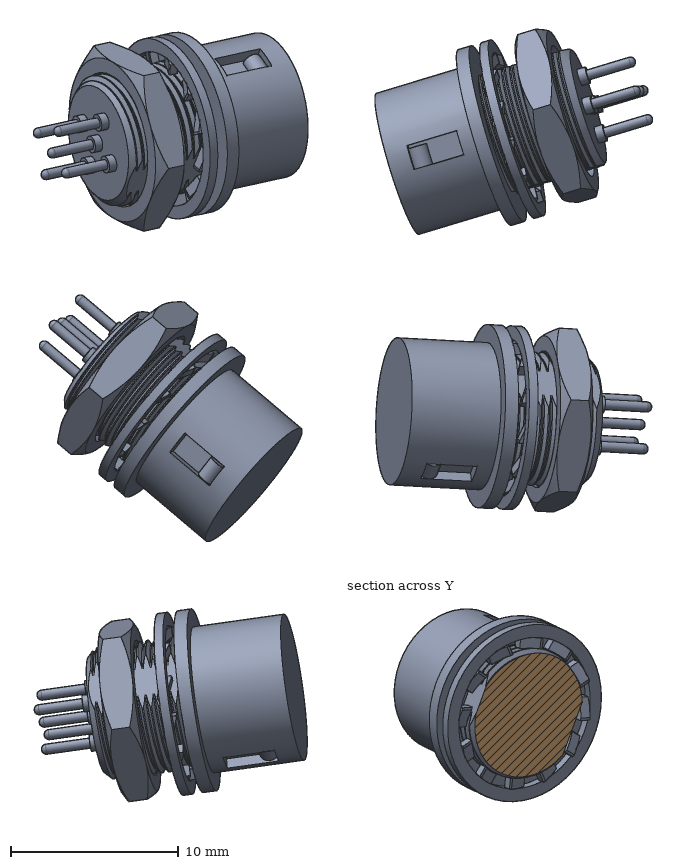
import cadquery as cq
import math


barrel_radius = 4.42
barrel_length = 5.49
flange_radius = 5.5
flange_thickness = 0.8
shank_length = 5.7
housing_back = -flange_thickness - barrel_length

thread_radius = 4.0
thread_root_radius = 3.72
thread_pitch = thread_radius / 8
thread_flat = 0.08
thread_turns = 11
thread_start = -0.03
shank_chamfer = 0.5
flat_distance = 3.61

key_angle = 65.7

slot_width = 1.5
slot_length = 3.13
slot_rear_wall = 1.38
upper_floor_distance = 3.6
lower_floor_distance = 3.74
latch_radius = 0.6
latch_width = 1.3
latch_from_rear = 1.88

pin_radius = 0.31
pin_length = 3.5
pin_collar_radius = 0.51
pin_collar_length = 0.51
pin_circle_radius = 1.8
outer_pin_count = 4

washer_radius = flange_radius
washer_bore_radius = 4.7
washer_thickness = 0.55
washer_start = 0.67
tooth_count = 12
tooth_inner_radius = 4.03
tooth_back = 0.43
tooth_front = 1.4
tooth_width = 1.33
tooth_edge = 0.53
tooth_tip = 0.15
first_tooth_angle = 83.2

nut_across_flats = 10.0
nut_sides = 6
nut_thickness = 1.98
nut_start = 2.73
nut_bore_radius = 4.09
nut_chamfer_angle = 30


def cylinder(radius, start, length):
    return cq.Workplane("XY", origin=(0, 0, start)).circle(radius).extrude(length)


def thread_groove():
    """Helical V groove that starts and ends in the middle of one of the flats."""
    overshoot = 0.08
    half_root = thread_flat / 2
    half_crest = (thread_pitch - thread_flat) / 2
    widening = (half_crest - half_root) / (thread_radius - thread_root_radius)
    half_mouth = half_crest + widening * overshoot
    mouth_radius = thread_radius + overshoot
    helix = cq.Wire.makeHelix(thread_pitch, thread_turns * thread_pitch, thread_root_radius,
                              center=cq.Vector(0, 0, thread_start))
    profile = cq.Workplane("XZ", origin=(0, 0, thread_start)).polyline([
        (thread_root_radius, -half_root),
        (mouth_radius, -half_mouth),
        (mouth_radius, half_mouth),
        (thread_root_radius, half_root),
    ]).close()
    groove = profile.sweep(cq.Workplane(helix), isFrenet=True)
    return groove.rotate((0, 0, 0), (0, 0, 1), key_angle + 90)


def make_shank():
    """Threaded shank with a chamfered end and two flats."""
    threaded = cylinder(thread_radius, 0, shank_length).cut(thread_groove())
    clearance = 0.15
    envelope = (
        cylinder(thread_radius + clearance, 0, shank_length)
        .faces(">Z").chamfer(shank_chamfer + clearance)
    )
    flats = cq.Workplane("XY").box(2 * flat_distance, 4 * thread_radius, shank_length,
                                   centered=(True, True, False))
    envelope = envelope.intersect(flats.rotate((0, 0, 0), (0, 0, 1), key_angle - 90))
    return threaded.intersect(envelope)


def make_slot(floor_distance):
    """Cutter for a +Y barrel slot, before turning; the latch against its +X wall is left standing."""
    slot_start = housing_back + slot_rear_wall
    slot_depth = barrel_radius - floor_distance
    slot = cq.Workplane("XY").box(slot_width, slot_depth, slot_length, centered=(True, False, False))
    slot = slot.translate((0, floor_distance, slot_start))
    latch_left = slot_width / 2 - latch_width
    latch = (
        cq.Workplane("YZ", origin=(latch_left, floor_distance, housing_back + latch_from_rear))
        .circle(latch_radius)
        .extrude(latch_width)
    )
    return slot.cut(latch)


def make_pin():
    """Collared pin with a rounded tip, standing on the end of the shank."""
    collar = cylinder(pin_collar_radius, shank_length, pin_collar_length)
    stem = cylinder(pin_radius, shank_length, pin_length - pin_radius)
    tip = cq.Workplane("XY", origin=(0, 0, shank_length + pin_length - pin_radius)).sphere(pin_radius)
    return collar.union(stem).union(tip)


def make_housing():
    housing = cylinder(barrel_radius, housing_back, barrel_length)
    upper_slot = make_slot(upper_floor_distance)
    lower_slot = make_slot(lower_floor_distance).mirror("XZ")
    for slot in (upper_slot, lower_slot):
        housing = housing.cut(slot.rotate((0, 0, 0), (0, 0, 1), key_angle - 90))
    housing = housing.union(cylinder(flange_radius, -flange_thickness, flange_thickness))
    housing = housing.union(make_shank())
    pin = make_pin()
    housing = housing.union(pin)
    for index in range(outer_pin_count):
        angle = key_angle + index * 360 / outer_pin_count
        outer_pin = pin.translate((pin_circle_radius, 0, 0)).rotate((0, 0, 0), (0, 0, 1), angle)
        housing = housing.union(outer_pin)
    return housing


def make_tooth():
    """One twisted tooth on the +X side, rising toward the nut in the -Y direction."""
    half_width = tooth_width / 2
    twisted_bar = cq.Workplane("YZ").polyline([
        (half_width, tooth_back),
        (half_width, tooth_back + tooth_edge),
        (tooth_tip - half_width, tooth_front),
        (-half_width, tooth_front),
        (-half_width, tooth_front - tooth_edge),
        (half_width - tooth_tip, tooth_back),
    ]).close().extrude(washer_radius)
    tooth_height = tooth_front - tooth_back
    limits = cylinder(washer_bore_radius, tooth_back, tooth_height)
    limits = limits.cut(cylinder(tooth_inner_radius, tooth_back, tooth_height))
    return twisted_bar.intersect(limits)


def make_washer():
    washer = cylinder(washer_radius, washer_start, washer_thickness)
    washer = washer.cut(cylinder(washer_bore_radius, washer_start, washer_thickness))
    tooth = make_tooth()
    for index in range(tooth_count):
        angle = first_tooth_angle + index * 360 / tooth_count
        washer = washer.union(tooth.rotate((0, 0, 0), (0, 0, 1), angle))
    return washer


def make_nut():
    """Hexagon nut with its corners on the X axis and both faces chamfered."""
    face_radius = nut_across_flats / 2
    corner_radius = face_radius / math.cos(math.pi / nut_sides)
    chamfer_height = (corner_radius - face_radius) * math.tan(math.radians(nut_chamfer_angle))
    hexagon = (
        cq.Workplane("XY", origin=(0, 0, nut_start))
        .polygon(nut_sides, 2 * corner_radius)
        .extrude(nut_thickness)
    )
    chamfers = cq.Workplane("XZ", origin=(0, 0, nut_start)).polyline([
        (0, 0),
        (face_radius, 0),
        (corner_radius, chamfer_height),
        (corner_radius, nut_thickness - chamfer_height),
        (face_radius, nut_thickness),
        (0, nut_thickness),
    ]).close().revolve(360, (0, 0, 0), (0, 1, 0))
    nut = hexagon.intersect(chamfers)
    return nut.cut(cylinder(nut_bore_radius, nut_start, nut_thickness))


def point_forward(body):
    """Turn a body so that its local Z axis points along -Y."""
    return body.rotate((0, 0, 0), (1, 0, 0), 90)


housing = point_forward(make_housing())
washer = point_forward(make_washer())
nut = point_forward(make_nut())

result = cq.Compound.makeCompound([housing.val(), washer.val(), nut.val()])